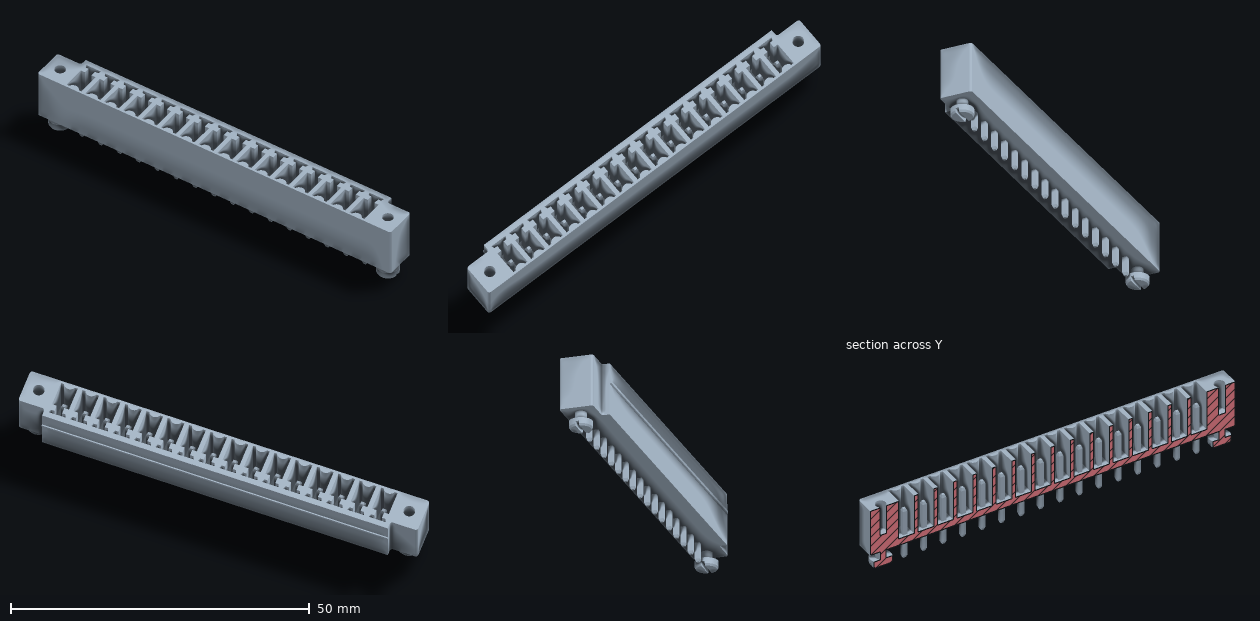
import cadquery as cq


length = 71.35
ear_depth = 6.0
housing_depth = 7.35
housing_height = 9.2
housing_bottom = 3.4
housing_top = housing_bottom + housing_height
ear_length = 4.8
corner_radius = 0.465
step_half_length = length / 2 - ear_length

total_depth = 7.55
rib_projection = total_depth - housing_depth
rib_drop = 3.1
rib_top = housing_top - rib_drop
rib_height = 0.65

pole_count = 16
pole_span = 57.15
pitch = pole_span / (pole_count - 1)
axis_y = ear_depth / 2
pole_xs = [i * pitch - pole_span / 2 for i in range(pole_count)]

pocket_width = 3.0
pocket_depth = 7.8
pocket_front = 0.4
pocket_shoulder = 4.7
neck_width = 1.35
neck_end = 5.8
pocket_back = 6.35
dovetail_taper = 0.2
arch_radius = 1.1

pin_width = 0.85
pin_tip_width = 0.5
pin_taper = 0.5
pin_recess = 2.5
pin_top = housing_top - pin_recess

screw_inset = 2.6
screw_x = length / 2 - screw_inset
bushing_diameter = 4.0
bore_diameter = 2.0
bore_depth = 5.7
head_diameter = 4.0
head_bottom = 0.4
head_top = 1.85
head_chamfer_height = 0.35
head_chamfer_width = 0.2
slot_width = 0.65
slot_depth = 0.8


def housing_block():
    row_length = 2 * step_half_length
    block = (
        cq.Workplane("XY", origin=(0, axis_y, housing_bottom))
        .rect(length, ear_depth)
        .extrude(housing_height)
        .edges("|Z")
        .fillet(corner_radius)
    )
    row = (
        cq.Workplane("XY", origin=(0, housing_depth / 2, housing_bottom))
        .rect(row_length, housing_depth)
        .extrude(housing_height)
    )
    step_rounding = (
        cq.Workplane("XY", origin=(0, ear_depth, housing_bottom))
        .moveTo(-step_half_length - corner_radius, 0)
        .lineTo(step_half_length + corner_radius, 0)
        .radiusArc((step_half_length, corner_radius), corner_radius)
        .lineTo(-step_half_length, corner_radius)
        .radiusArc((-step_half_length - corner_radius, 0), corner_radius)
        .close()
        .extrude(housing_height)
    )
    return block.union(row).union(step_rounding)


def latching_rib():
    return (
        cq.Workplane("YZ", origin=(-step_half_length, 0, 0))
        .moveTo(housing_depth, rib_top)
        .lineTo(total_depth, rib_top)
        .lineTo(total_depth, rib_top - rib_height + rib_projection)
        .lineTo(housing_depth, rib_top - rib_height)
        .close()
        .extrude(2 * step_half_length)
    )


def pocket():
    half = pocket_width / 2
    neck = neck_width / 2
    outline = (
        cq.Workplane("XY", origin=(0, 0, housing_top))
        .moveTo(-half, pocket_front)
        .lineTo(half, pocket_front)
        .lineTo(half, pocket_shoulder)
        .lineTo(neck, pocket_shoulder)
        .lineTo(neck, neck_end)
        .lineTo(half - dovetail_taper, neck_end)
        .lineTo(half, pocket_back)
        .lineTo(-half, pocket_back)
        .lineTo(-half + dovetail_taper, neck_end)
        .lineTo(-neck, neck_end)
        .lineTo(-neck, pocket_shoulder)
        .lineTo(-half, pocket_shoulder)
        .close()
        .extrude(-pocket_depth)
    )
    arch = cq.Workplane("XY", origin=(0, 0, housing_top)).circle(arch_radius).extrude(-pocket_depth)
    return outline.cut(arch)


def pin():
    shaft = (
        cq.Workplane("XY", origin=(0, axis_y, pin_taper))
        .rect(pin_width, pin_width)
        .extrude(pin_top - 2 * pin_taper)
    )

    def tip(base_z, end_z):
        return (
            cq.Workplane("XY", origin=(0, axis_y, base_z))
            .rect(pin_width, pin_width)
            .workplane(offset=end_z - base_z)
            .rect(pin_tip_width, pin_tip_width)
            .loft()
        )

    return shaft.union(tip(pin_taper, 0)).union(tip(pin_top - pin_taper, pin_top))


def screw():
    head_radius = head_diameter / 2
    shank_radius = bore_diameter / 2
    body = (
        cq.Workplane("XZ", origin=(0, axis_y, 0))
        .moveTo(0, head_bottom)
        .lineTo(head_radius - head_chamfer_width, head_bottom)
        .lineTo(head_radius, head_bottom + head_chamfer_height)
        .lineTo(head_radius, head_top)
        .lineTo(shank_radius, head_top)
        .lineTo(shank_radius, housing_bottom)
        .lineTo(0, housing_bottom)
        .close()
        .revolve(360, (0, 0, 0), (0, 1, 0))
    )
    slot = (
        cq.Workplane("XY", origin=(0, axis_y, head_bottom))
        .rect(head_diameter, slot_width)
        .extrude(slot_depth)
    )
    return body.cut(slot)


def cylinder_from_top(diameter, depth):
    return cq.Workplane("XY", origin=(0, axis_y, housing_top)).circle(diameter / 2).extrude(-depth)


def at_each(xs, shape):
    return cq.Workplane().pushPoints([(x, 0) for x in xs]).eachpoint(shape.val(), combine=False)


ear_xs = [-screw_x, screw_x]
bushings = at_each(ear_xs, cylinder_from_top(bushing_diameter, housing_height))
bores = at_each(ear_xs, cylinder_from_top(bore_diameter, bore_depth))

result = (
    housing_block()
    .union(latching_rib())
    .cut(at_each(pole_xs, pocket()))
    .union(at_each(pole_xs, pin()))
    .union(at_each(ear_xs, screw()))
)
result = result.cut(bushings).union(bushings, clean=False).cut(bores, clean=False)